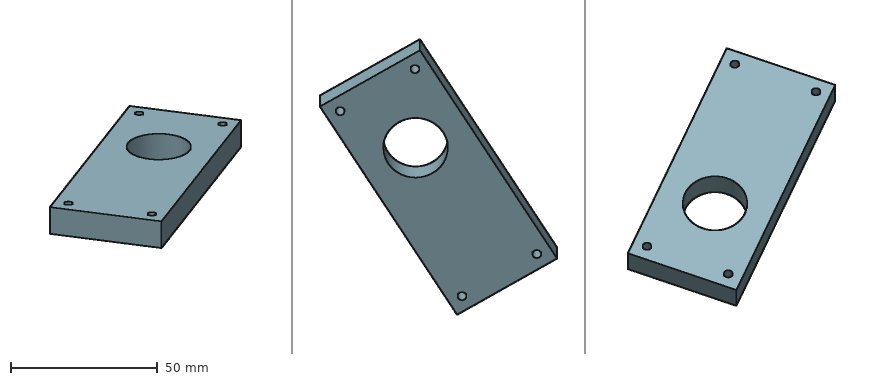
import cadquery as cq

length = 90.0
width = 40.0
thickness = 10.0

bore_diameter = 22.0
bore_from_end = 30.0
bore_y = length / 2 - bore_from_end

screw_diameter = 3.0
screw_inset = 5.0
screw_spacing_x = width - 2 * screw_inset
screw_spacing_y = length - 2 * screw_inset

plate = cq.Workplane("XY").box(width, length, thickness)

bored_plate = plate.faces(">Z").workplane(origin=(0, 0, 0)).center(0, bore_y).hole(bore_diameter)

result = (
    bored_plate.faces(">Z")
    .workplane(origin=(0, 0, 0))
    .rect(screw_spacing_x, screw_spacing_y, forConstruction=True)
    .vertices()
    .hole(screw_diameter)
)